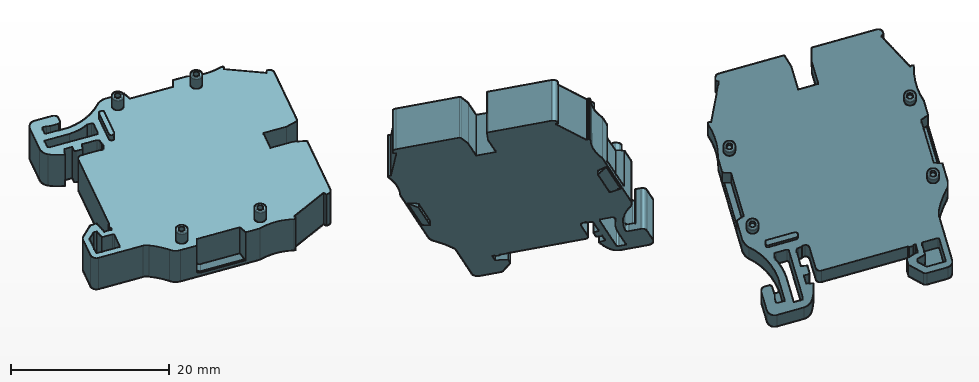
import cadquery as cq


length = 32.2
half_width = 27.0 / 2
thickness = 6.05
shoulder_y = 10.95
rail_y = 4.0

notch_half_width = 1.32
notch_half_mouth = 1.77
notch_floor_y = 27.45
notch_flare_y = 30.53

lip_half_width = 11.0
lip_y = 31.4
lip_root = (10.65, 31.2)
nub_inner = (13.07, 26.37)
nub_peak = (13.3, 26.5)
nub_outer_y = 26.4
waist_top_y = 26.18
waist_bottom_y = 21.6
waist_depth = 0.35

foot_left_x = -13.07
stem_outer_x = -10.53
stem_curve_end_y = 4.57
stem_inner_x = -7.35
tooth_x = -6.55
gap_right_x = -5.65
gap_top_y = 7.75

fixed_foot_x = 11.2
claw_root_x = 7.35
claw_tip_x = 5.73
claw_tip_y = 1.67
bead_height = 0.13

pocket_floor_z = 1.03

pin_x = 11.85
pin_ys = (11.72, 22.25)
pin_radius = 0.77
pin_height = 1.95
pin_tip_round = 0.13
pin_bore_radius = 0.4
pin_bore_depth = 0.95

rib_left_x = -10.88
rib_right_x = -6.63
rib_bottom_y = 8.75
rib_width = 0.7
rib_height = 1.03
rib_corner_radius = 0.25

window_top_y = 19.7
window_bottom_y = 13.17
window_end_taper = 0.4
window_inner_x = 12.45
window_ledge_z = 0.65
window_inner_z = 1.03
window_fillet = 0.48
latch_outer_x = 13.27
latch_inner_x = 11.98
latch_top_y = 19.48
latch_bottom_y = 13.9
latch_drop = 0.58
latch_end_taper = 0.5


def round_corners(solid, radius, corners):
    """Fillet the upright edges that stand at the given (x, y) corners."""
    reach = 0.015
    edges = cq.Workplane("XY")
    for x, y in corners:
        box = cq.selectors.BoxSelector(
            (x - reach, y - reach, -length), (x + reach, y + reach, length), boundingbox=False
        )
        edges = edges.add(solid.edges("|Z").edges(box))
    return solid.newObject(edges.vals()).fillet(radius)


def both_sides(solid):
    """Join a right-hand solid with its mirror image on the left."""
    return solid.union(solid.mirror("YZ"))


def upper_housing():
    mouth = (notch_half_mouth, length)
    lip_corner = (lip_half_width, length)
    half = (
        cq.Workplane("XY")
        .moveTo(0, shoulder_y)
        .lineTo(0, notch_floor_y)
        .lineTo(notch_half_width, notch_floor_y)
        .lineTo(notch_half_width, notch_flare_y)
        .lineTo(*mouth)
        .lineTo(*lip_corner)
        .lineTo(lip_half_width, lip_y)
        .lineTo(*lip_root)
        .lineTo(*nub_inner)
        .lineTo(*nub_peak)
        .lineTo(half_width, nub_outer_y)
        .lineTo(half_width, waist_top_y)
        .threePointArc(
            (half_width - waist_depth, (waist_top_y + waist_bottom_y) / 2),
            (half_width, waist_bottom_y),
        )
        .lineTo(half_width, shoulder_y)
        .close()
        .extrude(thickness)
    )
    half = round_corners(half, 0.2, [mouth])
    half = round_corners(half, 0.65, [lip_corner])
    return both_sides(half)


def lower_housing():
    claw_sole = (claw_tip_x + claw_tip_y, 0)
    body = (
        cq.Workplane("XY")
        .moveTo(-half_width, shoulder_y)
        .threePointArc((-13.4, 10.1), (-13.0, 9.47))
        .threePointArc((-11.35, 7.3), (stem_outer_x, stem_curve_end_y))
        .lineTo(stem_outer_x, rail_y)
        .lineTo(foot_left_x, rail_y)
        .lineTo(foot_left_x, 0)
        .lineTo(-8.47, 0)
        .threePointArc((-7.8, 0.15), (-7.25, 0.65))
        .threePointArc((-6.8, 1.5), (-6.45, 2.7))
        .lineTo(stem_inner_x, 2.9)
        .lineTo(stem_inner_x, rail_y)
        .lineTo(tooth_x, rail_y)
        .lineTo(tooth_x, 5.12)
        .lineTo(stem_inner_x, 5.28)
        .lineTo(stem_inner_x, 7.57)
        .lineTo(-6.55, 7.65)
        .lineTo(-6.45, gap_top_y)
        .lineTo(gap_right_x, gap_top_y)
        .lineTo(gap_right_x, rail_y)
        .lineTo(6.3, rail_y)
        .lineTo(6.45, rail_y - bead_height)
        .lineTo(6.95, rail_y - bead_height)
        .lineTo(7.1, rail_y)
        .lineTo(claw_root_x, rail_y)
        .lineTo(claw_root_x, 2.95)
        .lineTo(claw_tip_x, 2.55)
        .lineTo(claw_tip_x, claw_tip_y)
        .lineTo(*claw_sole)
        .lineTo(fixed_foot_x, 0)
        .lineTo(fixed_foot_x, 6.73)
        .threePointArc((11.25, 7.12), (11.4, 7.47))
        .threePointArc((12.1, 8.63), (12.95, 9.65))
        .threePointArc((13.35, 10.25), (half_width, shoulder_y))
        .close()
        .extrude(thickness)
    )
    body = round_corners(body, 0.2, [(tooth_x, rail_y)])
    body = round_corners(body, 0.32, [
        (stem_outer_x, rail_y),
        (stem_inner_x, 7.57),
    ])
    body = round_corners(body, 0.5, [(gap_right_x, gap_top_y)])
    body = round_corners(body, 0.58, [
        (foot_left_x, rail_y),
        (gap_right_x, rail_y),
        claw_sole,
    ])
    body = round_corners(body, 0.8, [(fixed_foot_x, 0)])
    return round_corners(body, 1.03, [(foot_left_x, 0)])


def spring_slot():
    """Through slot that lets the spring foot flex."""
    left_x, right_x, bottom_y, top_y = -10.2, -8.25, 1.03, 7.82
    waist_x = -9.5
    slot = (
        cq.Workplane("XY")
        .moveTo(waist_x, bottom_y)
        .lineTo(right_x, bottom_y)
        .lineTo(right_x, top_y)
        .lineTo(left_x, top_y)
        .lineTo(left_x, 7.05)
        .threePointArc((-9.7, 5.7), (waist_x, 4.35))
        .close()
        .extrude(thickness)
    )
    return round_corners(slot, 0.25, [(right_x, bottom_y), (right_x, top_y), (left_x, top_y)])


def blind_pocket(points, rounded):
    pocket = (
        cq.Workplane("XY", origin=(0, 0, pocket_floor_z))
        .polyline(points)
        .close()
        .extrude(thickness - pocket_floor_z)
    )
    return round_corners(pocket, 0.2, rounded)


def hook_pocket():
    left_x, floor_y = -11.7, 1.48
    points = [
        (stem_outer_x, floor_y),
        (left_x, floor_y),
        (left_x, 2.05),
        (-11.55, 2.58),
        (-11.55, 3.75),
        (-11.8, rail_y),
        (-11.8, stem_curve_end_y),
        (stem_outer_x, stem_curve_end_y),
    ]
    return blind_pocket(points, [(stem_outer_x, floor_y), (left_x, floor_y)])


def claw_pocket():
    left_x, right_x, bottom_y = 8.1, 10.4, 0.8
    nose_x = 7.0
    points = [
        (left_x, rail_y),
        (right_x, rail_y),
        (right_x, bottom_y),
        (7.85, bottom_y),
        (nose_x, claw_tip_y),
        (nose_x, 2.1),
        (left_x, 2.38),
    ]
    return blind_pocket(points, [(left_x, rail_y), (right_x, rail_y), (right_x, bottom_y)])


def window():
    """Right-hand window: open at the top and side, its floor falling to an outer ledge."""
    plan = (
        cq.Workplane("XY")
        .polyline([
            (window_inner_x, window_bottom_y + window_end_taper),
            (half_width, window_bottom_y),
            (half_width, window_top_y),
            (window_inner_x, window_top_y - window_end_taper),
        ])
        .close()
        .extrude(thickness)
    )
    section = (
        cq.Workplane("XZ")
        .polyline([
            (window_inner_x, window_inner_z),
            (latch_outer_x, window_ledge_z),
            (half_width, window_ledge_z),
            (half_width, thickness),
            (window_inner_x, thickness),
        ])
        .close()
        .extrude(-length)
    )
    lower_end = cq.selectors.BoxSelector(
        (window_inner_x, window_bottom_y, 0),
        (half_width, window_bottom_y + window_end_taper, window_inner_z),
    )
    return plan.intersect(section).edges(lower_end).fillet(window_fillet)


def latch():
    """Right-hand wedge under the plate, deepest and shortest along its inner side."""
    wedge = (
        cq.Workplane("XZ")
        .polyline([(latch_outer_x, 0), (latch_inner_x, 0), (latch_inner_x, -latch_drop)])
        .close()
        .extrude(-length)
    )
    plan = (
        cq.Workplane("XY")
        .polyline([
            (latch_outer_x, latch_bottom_y),
            (latch_outer_x, latch_top_y),
            (latch_inner_x, latch_top_y - latch_end_taper),
            (latch_inner_x, latch_bottom_y + latch_end_taper),
        ])
        .close()
        .extrude(-latch_drop)
    )
    return wedge.intersect(plan)


def pins():
    """Right-hand pair of hollow locating pins."""
    return (
        cq.Workplane("XY", origin=(0, 0, thickness))
        .pushPoints([(pin_x, y) for y in pin_ys])
        .circle(pin_radius)
        .extrude(pin_height)
        .faces(">Z")
        .edges()
        .fillet(pin_tip_round)
        .faces(">Z")
        .workplane(origin=(0, 0, 0))
        .pushPoints([(pin_x, y) for y in pin_ys])
        .hole(2 * pin_bore_radius, pin_bore_depth)
    )


def rib():
    """Raised rib with softened corners at one end and a full round at the other."""
    top_y = rib_bottom_y + rib_width
    end_radius = rib_width / 2
    bar = (
        cq.Workplane("XY", origin=(0, 0, thickness))
        .moveTo(rib_left_x, rib_bottom_y)
        .lineTo(rib_right_x - end_radius, rib_bottom_y)
        .threePointArc(
            (rib_right_x, rib_bottom_y + end_radius),
            (rib_right_x - end_radius, top_y),
        )
        .lineTo(rib_left_x, top_y)
        .close()
        .extrude(rib_height)
    )
    return round_corners(bar, rib_corner_radius, [(rib_left_x, rib_bottom_y), (rib_left_x, top_y)])


housing = upper_housing().union(lower_housing())
housing = housing.cut(spring_slot()).cut(hook_pocket()).cut(claw_pocket())
housing = housing.cut(both_sides(window()))
result = housing.union(both_sides(latch())).union(both_sides(pins())).union(rib())